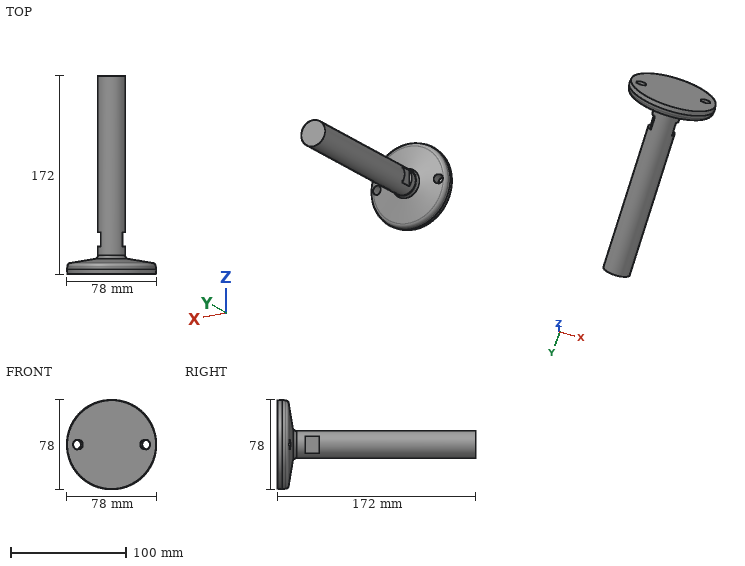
import cadquery as cq
import math

total_length = 172.0

foot_radius = 78.0 / 2
rim_draft = 0.5
rim_widest_y = 4.1
rim_top_y = 6.7
rim_round_radius = 3.3

neck_top_radius = 11.5
neck_middle_radius = 12.2
neck_base_radius = 13.5
neck_base_y = 13.6
neck_middle_y = 15.1
shaft_start_y = 16.7

rim_edge_radius = foot_radius - rim_draft
cone_outer_radius = rim_edge_radius - rim_round_radius
cone_outer_y = rim_top_y + rim_round_radius
cone_slope = math.atan2(neck_base_y - cone_outer_y, cone_outer_radius - neck_base_radius)

shaft_radius = 24.0 / 2
flats_width = 19.1
flats_start_y = 24.0
flats_length = 12.2

hole_diameter = 8.5
hole_offset = 29.0


def revolved_body():
    """Foot, neck and shaft as one profile turned about Y."""
    arc_middle = (
        cone_outer_radius + rim_round_radius * math.cos(math.pi / 4),
        rim_top_y + rim_round_radius * math.sin(math.pi / 4),
    )
    return (
        cq.Workplane("XY")
        .lineTo(rim_edge_radius, 0)
        .lineTo(foot_radius, rim_widest_y)
        .lineTo(rim_edge_radius, rim_top_y)
        .threePointArc(arc_middle, (cone_outer_radius, cone_outer_y))
        .lineTo(neck_base_radius, neck_base_y)
        .lineTo(neck_middle_radius, neck_middle_y)
        .lineTo(neck_top_radius, shaft_start_y)
        .lineTo(shaft_radius, shaft_start_y)
        .lineTo(shaft_radius, total_length)
        .lineTo(0, total_length)
        .close()
        .revolve(360, (0, 0, 0), (0, 1, 0))
    )


def flat_cutter(side):
    """Block that leaves one wrench flat on the +X or -X side of the shaft."""
    return cq.Workplane("XY").box(shaft_radius, flats_length, 2 * shaft_radius).translate(
        (side * (flats_width + shaft_radius) / 2, flats_start_y + flats_length / 2, 0)
    )


def hole_cutter(side):
    """Cylinder through the foot, leaning outward towards the cone."""
    reach = neck_base_y
    direction = cq.Vector(side * math.sin(cone_slope), math.cos(cone_slope), 0)
    start = cq.Vector(side * hole_offset, 0, 0) - direction * reach
    return cq.Solid.makeCylinder(hole_diameter / 2, 2 * reach, start, direction)


result = revolved_body()
for side in (-1, 1):
    result = result.cut(flat_cutter(side)).cut(hole_cutter(side))